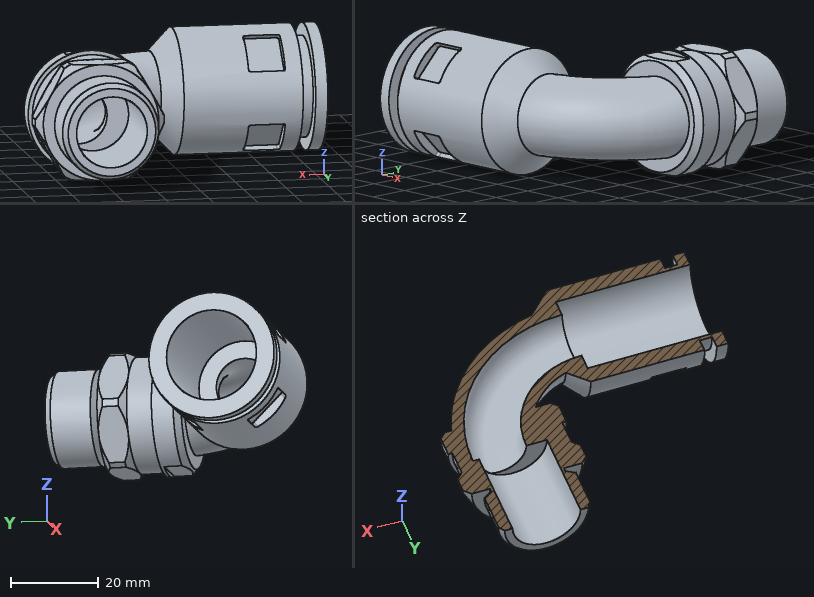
import cadquery as cq
import math


socket_diameter = 29.5
socket_bore_diameter = 21.2
mouth_flange_length = 2.9
groove_diameter = 23.4
groove_end = 5.8
socket_body_end = 33.65
window_start = 9.7
window_length = 8.55
window_width = 10.15
window_flat_distance = 12.55
window_corner_radius = 0.6
window_count = 4

bend_start = 32.85
bend_radius = 27.85
tube_diameter = 19.0
tube_bore_diameter = 13.0

connector_axis_x = 57.4
connector_bore_diameter = 16.5
hex_across_flats = 27.0
overall_length = 72.5
hex_corner_diameter = 2 * (overall_length - connector_axis_x)
collar_diameter = hex_across_flats
ring_diameter = 29.0
neck_diameter = 18.2
thread_diameter = 22.5
ring_bevel = 1.5
ring_start = 17.55
ring_flat_end = 23.3
ring_end = 24.15
hex_start = 30.2
hex_end = 37.2
thread_relief_start = 38.0
thread_start = 39.3
thread_end = 50.25
thread_bevel_depth = 1.0
thread_bevel_length = 1.5


def cylinder_x(diameter, start, end):
    return cq.Workplane("YZ", origin=(start, 0, 0)).circle(diameter / 2).extrude(end - start)


def revolve_about_connector(profile):
    """Revolve (radius, y) points about the connector axis."""
    outline = cq.Workplane("XY", origin=(connector_axis_x, 0, 0)).polyline(profile).close()
    return outline.revolve(360, (0, 0, 0), (0, 1, 0))


def make_socket():
    radius = socket_diameter / 2
    cone_end_radius = tube_bore_diameter / 2
    cone_length = radius - cone_end_radius
    profile = [
        (0, 0),
        (0, radius),
        (mouth_flange_length, radius),
        (mouth_flange_length, groove_diameter / 2),
        (groove_end, groove_diameter / 2),
        (groove_end, radius),
        (socket_body_end, radius),
        (socket_body_end + cone_length, cone_end_radius),
        (socket_body_end + cone_length, 0),
    ]
    socket = cq.Workplane("XY").polyline(profile).close().revolve(360, (0, 0, 0), (1, 0, 0))

    window_cutter = (
        cq.Workplane("XY", origin=(window_start + window_length / 2, 0, window_flat_distance))
        .rect(window_length, window_width)
        .extrude(socket_diameter / 2)
        .edges("|Z")
        .fillet(window_corner_radius)
    )
    pitch = 360 / window_count
    for index in range(window_count):
        angle = (index + 0.5) * pitch
        socket = socket.cut(window_cutter.rotate((0, 0, 0), (1, 0, 0), angle))
    return socket


def make_bend(diameter):
    section = cq.Workplane("YZ", origin=(bend_start, 0, 0)).circle(diameter / 2)
    return section.revolve(90, (bend_radius, 0, 0), (bend_radius, 1, 0))


def make_turned_connector():
    """Ring, collar, neck and thread, without the hex."""
    ring_radius = ring_diameter / 2
    collar_radius = collar_diameter / 2
    neck_radius = neck_diameter / 2
    thread_radius = thread_diameter / 2
    profile = [
        (0, ring_start),
        (ring_radius - ring_bevel, ring_start),
        (ring_radius, ring_start + ring_bevel),
        (ring_radius, ring_end),
        (collar_radius, ring_end),
        (collar_radius, hex_start),
        (neck_radius, hex_start),
        (neck_radius, thread_relief_start),
        (thread_radius, thread_start),
        (thread_radius, thread_end - thread_bevel_length),
        (thread_radius - thread_bevel_depth, thread_end),
        (0, thread_end),
    ]
    connector = revolve_about_connector(profile)

    flat_length = ring_flat_end - ring_start
    flat_depth = (ring_diameter - hex_across_flats) / 2
    flat_centre_z = (hex_across_flats + flat_depth) / 2
    for side in (1, -1):
        flat_centre = (connector_axis_x, ring_start + flat_length / 2, side * flat_centre_z)
        flat_cutter = cq.Workplane("XY").box(ring_diameter, flat_length, flat_depth).translate(flat_centre)
        connector = connector.cut(flat_cutter)
    return connector


def make_hex():
    """Hex with corners on +X and -X, turned round and bevelled 45 degrees at both ends."""
    across_corners = hex_across_flats / math.cos(math.pi / 6)
    corner_radius = hex_corner_diameter / 2
    end_radius = hex_across_flats / 2
    bevel = corner_radius - end_radius
    prism = (
        cq.Workplane("XZ", origin=(connector_axis_x, hex_start, 0))
        .polygon(6, across_corners)
        .extrude(hex_start - hex_end)
    )
    envelope = revolve_about_connector([
        (0, hex_start),
        (end_radius, hex_start),
        (corner_radius, hex_start + bevel),
        (corner_radius, hex_end - bevel),
        (end_radius, hex_end),
        (0, hex_end),
    ])
    return prism.intersect(envelope)


socket_bore = cylinder_x(socket_bore_diameter, 0, bend_start)
connector_bore = revolve_about_connector([
    (0, bend_radius),
    (connector_bore_diameter / 2, bend_radius),
    (connector_bore_diameter / 2, thread_end),
    (0, thread_end),
])

result = (
    make_socket()
    .union(make_bend(tube_diameter))
    .union(make_turned_connector())
    .union(make_hex())
    .cut(socket_bore)
    .cut(make_bend(tube_bore_diameter))
    .cut(connector_bore)
)